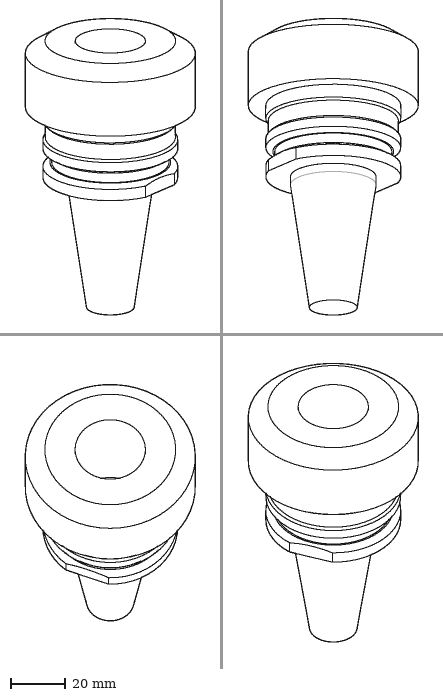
import cadquery as cq
import math


gauge_diameter = 31.75
taper_length = 47.8
taper_ratio = 7 / 24
tip_diameter = gauge_diameter - taper_length * taper_ratio

flange_diameter = 50.0
flange_bottom_z = 3.2
flange_top_z = 19.1
groove_center_z = 11.1
groove_floor_diameter = 43.4
groove_width = 3.9
groove_ledge_diameter = 44.7
groove_wall_angle = 30.0
flats_width = 47.0

neck_diameter = 48.2
neck_top_z = 25.1
neck_bevel = (flange_diameter - neck_diameter) / 2

head_diameter = 63.0
head_face_diameter = 48.4
head_bottom_z = 31.0
head_top_z = 57.0
head_bevel_height = 4.8

bore_diameter = 26.0
bore_depth = 40.0

groove_wall_height = (
    (flange_diameter - groove_ledge_diameter) / 2 * math.tan(math.radians(groove_wall_angle))
)
groove_bottom_z = groove_center_z - groove_width / 2
groove_top_z = groove_center_z + groove_width / 2


def make_turned_body():
    """Revolve the outer outline, listed from the shank tip to the top face."""
    diameters_and_heights = [
        (tip_diameter, -taper_length),
        (gauge_diameter, 0),
        (gauge_diameter, flange_bottom_z),
        (flange_diameter, flange_bottom_z),
        (flange_diameter, groove_bottom_z - groove_wall_height),
        (groove_ledge_diameter, groove_bottom_z),
        (groove_floor_diameter, groove_bottom_z),
        (groove_floor_diameter, groove_top_z),
        (groove_ledge_diameter, groove_top_z),
        (flange_diameter, groove_top_z + groove_wall_height),
        (flange_diameter, flange_top_z - neck_bevel),
        (neck_diameter, flange_top_z),
        (neck_diameter, neck_top_z),
        (flange_diameter, neck_top_z + neck_bevel),
        (flange_diameter, head_bottom_z),
        (head_diameter, head_bottom_z),
        (head_diameter, head_top_z - head_bevel_height),
        (head_face_diameter, head_top_z),
    ]
    outline = [(diameter / 2, z) for diameter, z in diameters_and_heights]
    axis_bottom = (0, -taper_length)
    axis_top = (0, head_top_z)
    return (
        cq.Workplane("XZ")
        .polyline([axis_bottom] + outline + [axis_top])
        .close()
        .revolve(360, axis_bottom, axis_top)
    )


def make_flat_cutter(side):
    """Block that trims the lower flange rim flat on the +X (1) or -X (-1) side."""
    cutter_depth = flange_diameter - flats_width
    cutter_center_x = side * (flats_width + cutter_depth) / 2
    return (
        cq.Workplane("XY", origin=(cutter_center_x, 0, flange_bottom_z))
        .rect(cutter_depth, flange_diameter)
        .extrude(groove_center_z - flange_bottom_z)
    )


def make_bore():
    """Cylinder that is removed from the top face downward."""
    return (
        cq.Workplane("XY", origin=(0, 0, head_top_z))
        .circle(bore_diameter / 2)
        .extrude(-bore_depth)
    )


result = make_turned_body()
for side in (-1, 1):
    result = result.cut(make_flat_cutter(side))
result = result.cut(make_bore())